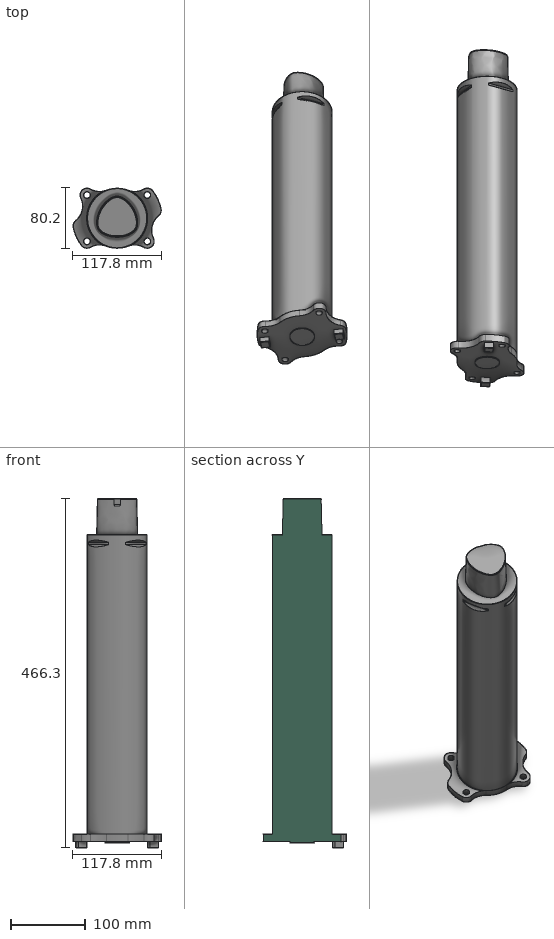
import cadquery as cq
import math

OVERALL_LENGTH = 466.3
SHANK_LENGTH = 48.0
BODY_LENGTH = 400.0
FLANGE_THICKNESS = 10.0
FLANGE_BOTTOM = -BODY_LENGTH - FLANGE_THICKNESS
LUG_HEIGHT = OVERALL_LENGTH - SHANK_LENGTH - BODY_LENGTH - FLANGE_THICKNESS

BODY_RADIUS = 80.0 / 2
SPIGOT_RADIUS = 33.0 / 2
SPIGOT_HEIGHT = 1.5
BODY_CHAMFER = 0.5

SHANK_BASE_RADIUS = 55.0 / 2
SHANK_LOBE_RISE = 2.0
SHANK_TAPER = 1 / 20
SHANK_TOP_RADIUS = SHANK_BASE_RADIUS - SHANK_LENGTH * SHANK_TAPER / 2
SHANK_CHAMFER_HEIGHT = 1.5
SHANK_CHAMFER_DEPTH = 0.6
SHANK_POINT_COUNT = 36

NOTCH_WIDTH = 8.9
NOTCH_DEPTH = 8.0
NOTCH_WALL_DISTANCE = 23.0
NOTCH_RAMP_LENGTH = 2.5
NOTCH_RAMP_REACH = 2.0
NOTCH_RAMP_INSET = 1.5

GROOVE_LEVEL = -12.0
GROOVE_FLOOR_DISTANCE = 35.2
GROOVE_FLOOR_HEIGHT = 3.0
GROOVE_MOUTH_HEIGHT = 9.0
GROOVE_ANGLES = (45, 135, 225, 315)

FLANGE_RADIUS = 60.0
FLANGE_LENGTH = 117.81
FLANGE_WIDTH = 80.25
EAR_RADIUS = 9.25
WAIST_RADIUS = 25.0
CORE_RADIUS = FLANGE_WIDTH / 2
COLLAR_RADIUS = 40.8
COLLAR_HEIGHT = 0.3
EAR_HOLE_RADIUS = 8.5 / 2
EAR_DISTANCE = FLANGE_RADIUS - EAR_RADIUS
EAR_Y = FLANGE_WIDTH / 2 - EAR_RADIUS
EAR_X = math.sqrt(EAR_DISTANCE**2 - EAR_Y**2)
LOBE_X = FLANGE_LENGTH / 2 - EAR_RADIUS
LOBE_Y = math.sqrt(EAR_DISTANCE**2 - LOBE_X**2)

LUG_SIDE = 12.0
LUG_DISTANCE = 50.0
LUG_ANGLES = (17, 197)
LUG_CHAMFER = 0.7


def waist_center(first, first_radius, second, second_radius):
    """Centre of the waist arc that touches two circles, right of the way from first to second."""
    span = math.dist(first, second)
    to_first = first_radius + WAIST_RADIUS
    to_second = second_radius + WAIST_RADIUS
    foot = (to_first**2 - to_second**2 + span**2) / (2 * span)
    offset = math.sqrt(to_first**2 - foot**2)
    along_x = (second[0] - first[0]) / span
    along_y = (second[1] - first[1]) / span
    return (first[0] + along_x * foot + along_y * offset, first[1] + along_y * foot - along_x * offset)


def contact_point(first, second):
    """Point where two tangent circles (centre, radius) meet; a hollow arc has a negative radius."""
    (x1, y1), r1 = first
    (x2, y2), r2 = second
    share = r1 / (r1 - r2)
    return (x1 + (x2 - x1) * share, y1 + (y2 - y1) * share)


def arc_middle(circle, start, end):
    """Middle of the shorter arc of the circle between two of its points."""
    (center_x, center_y), radius = circle
    toward_x = (start[0] + end[0]) / 2 - center_x
    toward_y = (start[1] + end[1]) / 2 - center_y
    scale = abs(radius) / math.hypot(toward_x, toward_y)
    return (center_x + toward_x * scale, center_y + toward_y * scale)


def flange_circles():
    """Circles of the outline, counter-clockwise: half of them, then the same turned half round."""
    origin = (0.0, 0.0)
    lobe = (LOBE_X, LOBE_Y)
    opposite_lobe = (-LOBE_X, -LOBE_Y)
    right_ear = (EAR_X, EAR_Y)
    left_ear = (-EAR_X, EAR_Y)
    half = [
        (lobe, EAR_RADIUS),
        (origin, FLANGE_RADIUS),
        (right_ear, EAR_RADIUS),
        (waist_center(right_ear, EAR_RADIUS, origin, CORE_RADIUS), -WAIST_RADIUS),
        (origin, CORE_RADIUS),
        (waist_center(origin, CORE_RADIUS, left_ear, EAR_RADIUS), -WAIST_RADIUS),
        (left_ear, EAR_RADIUS),
        (waist_center(left_ear, EAR_RADIUS, opposite_lobe, EAR_RADIUS), -WAIST_RADIUS),
    ]
    return half + [((-x, -y), radius) for (x, y), radius in half]


def flange_plate(level, thickness):
    """Plate with the flange outline, standing on the given level."""
    circles = flange_circles()
    ends = []
    for index, circle in enumerate(circles):
        following = circles[(index + 1) % len(circles)]
        ends.append(contact_point(circle, following))

    start = ends[-1]
    outline = cq.Workplane("XY", origin=(0, 0, level)).moveTo(*start)
    for circle, end in zip(circles, ends):
        outline = outline.threePointArc(arc_middle(circle, start, end), end)
        start = end
    return outline.close().extrude(thickness)


def make_flange():
    """Flange with four ear holes and a low collar round the foot of the body."""
    holes = (
        cq.Workplane("XY", origin=(0, 0, FLANGE_BOTTOM))
        .rect(2 * EAR_X, 2 * EAR_Y, forConstruction=True)
        .vertices()
        .circle(EAR_HOLE_RADIUS)
        .extrude(FLANGE_THICKNESS)
    )
    collar_disc = cq.Workplane("XY", origin=(0, 0, -BODY_LENGTH)).circle(COLLAR_RADIUS).extrude(COLLAR_HEIGHT)
    collar = collar_disc.intersect(flange_plate(-BODY_LENGTH, COLLAR_HEIGHT))
    return flange_plate(FLANGE_BOTTOM, FLANGE_THICKNESS).cut(holes).union(collar)


def make_lug(angle):
    lug = (
        cq.Workplane("XY", origin=(0, 0, FLANGE_BOTTOM))
        .center(LUG_DISTANCE, 0)
        .rect(LUG_SIDE, LUG_SIDE)
        .extrude(-LUG_HEIGHT)
        .faces("<Z")
        .chamfer(LUG_CHAMFER)
    )
    return lug.rotate((0, 0, 0), (0, 0, 1), angle)


def make_body():
    body = cq.Workplane("XY").circle(BODY_RADIUS).extrude(-BODY_LENGTH)
    body = body.faces(">Z").chamfer(BODY_CHAMFER)
    for angle in GROOVE_ANGLES:
        body = body.cut(make_groove(angle))
    return body


def make_groove(angle):
    """Straight groove with a flat floor and flanks that open outward."""
    floor = GROOVE_FLOOR_HEIGHT / 2
    mouth = GROOVE_MOUTH_HEIGHT / 2
    groove = (
        cq.Workplane("XZ", origin=(0, 0, GROOVE_LEVEL))
        .moveTo(GROOVE_FLOOR_DISTANCE, -floor)
        .lineTo(BODY_RADIUS, -mouth)
        .lineTo(BODY_RADIUS, mouth)
        .lineTo(GROOVE_FLOOR_DISTANCE, floor)
        .close()
        .extrude(BODY_RADIUS, both=True)
    )
    return groove.rotate((0, 0, 0), (0, 0, 1), angle)


def shank_points(mean_radius):
    """Points of the constant-width three-lobed curve with one lobe toward +Y."""
    points = []
    for index in range(SHANK_POINT_COUNT):
        turn = 2 * math.pi * index / SHANK_POINT_COUNT
        reach = mean_radius + SHANK_LOBE_RISE * math.cos(3 * turn)
        slope = -3 * SHANK_LOBE_RISE * math.sin(3 * turn)
        x = -reach * math.sin(turn) - slope * math.cos(turn)
        y = reach * math.cos(turn) - slope * math.sin(turn)
        points.append((x, y))
    return points


def shank_section(low_radius, high_radius, low, high):
    return (
        cq.Workplane("XY", origin=(0, 0, low))
        .spline(shank_points(low_radius), periodic=True)
        .close()
        .workplane(offset=high - low)
        .spline(shank_points(high_radius), periodic=True)
        .close()
        .loft(ruled=True)
    )


def make_notch():
    """Slot with an upright wall, ended below by an outward ramp that narrows downward."""
    bottom = SHANK_LENGTH - NOTCH_DEPTH
    tip = bottom - NOTCH_RAMP_LENGTH
    half_width = NOTCH_WIDTH / 2
    tip_half_width = half_width - NOTCH_RAMP_INSET
    front_shape = (
        cq.Workplane("XZ")
        .moveTo(-half_width, SHANK_LENGTH)
        .lineTo(-half_width, bottom)
        .lineTo(-tip_half_width, tip)
        .lineTo(tip_half_width, tip)
        .lineTo(half_width, bottom)
        .lineTo(half_width, SHANK_LENGTH)
        .close()
        .extrude(BODY_RADIUS)
    )
    side_shape = (
        cq.Workplane("YZ")
        .moveTo(-NOTCH_WALL_DISTANCE, SHANK_LENGTH)
        .lineTo(-NOTCH_WALL_DISTANCE, bottom)
        .lineTo(-NOTCH_WALL_DISTANCE - NOTCH_RAMP_REACH, tip)
        .lineTo(-NOTCH_WALL_DISTANCE - NOTCH_RAMP_REACH, SHANK_LENGTH)
        .close()
        .extrude(half_width, both=True)
    )
    return front_shape.intersect(side_shape)


def make_shank():
    chamfer_start = SHANK_LENGTH - SHANK_CHAMFER_HEIGHT
    chamfer_radius = SHANK_TOP_RADIUS + SHANK_CHAMFER_HEIGHT * SHANK_TAPER / 2
    end_radius = SHANK_TOP_RADIUS - SHANK_CHAMFER_DEPTH
    shank = shank_section(SHANK_BASE_RADIUS, chamfer_radius, 0, chamfer_start)
    tip = shank_section(chamfer_radius, end_radius, chamfer_start, SHANK_LENGTH)
    return shank.union(tip).cut(make_notch())


spigot = cq.Workplane("XY", origin=(0, 0, FLANGE_BOTTOM)).circle(SPIGOT_RADIUS).extrude(-SPIGOT_HEIGHT)

result = make_body().union(make_flange()).union(make_shank()).union(spigot)
for lug_angle in LUG_ANGLES:
    result = result.union(make_lug(lug_angle))